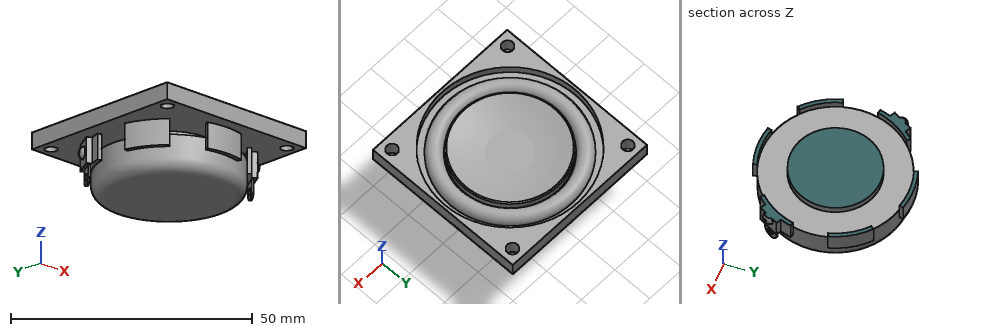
import cadquery as cq
import math

side = 40.1
height = 14.5
plate_thickness = 3.75
plate_bottom = height - plate_thickness
hole_offset = 17.25
hole_diameter = 2.8

recess_radius = 38.75 / 2
recess_depth = 2.1
recess_floor = height - recess_depth
roll_outer_radius = 17.72
roll_inner_radius = 13.7
roll_rise = (roll_outer_radius - roll_inner_radius) / 2
cone_radius = 27.0 / 2
cone_mouth_radius = 13.15
cone_mouth_drop = 0.1
cone_edge_drop = 0.32
cap_radius = 5.2
cone_depth = 1.95
cone_sag = 0.25

pot_radius = 32.4 / 2
pot_height = 7.65
pot_fillet = 2.55
neck_radius = 20.0 / 2

leg_count = 6
leg_outer_radius = 17.15
leg_bottom = 4.97
leg_angle = 32.8

terminal_angles = (-30, 150)
terminal_shift = -0.15
pad_face = 18.25
pad_width = 5.1
rivet_height = 8.15
rivet_radius = 1.4
rivet_rise = 0.92
rivet_tip_radius = 0.5
tag_face = 17.65
tag_thickness = 0.45
tag_width = 3.53
tag_hole_height = 2.73
tag_hole_diameter = 1.6


def cylinder(radius, bottom, top):
    return cq.Workplane("XY").workplane(offset=bottom).circle(radius).extrude(top - bottom)


def make_plate():
    """Square plate with corner holes and a round recess."""
    plate = cq.Workplane("XY").workplane(offset=plate_bottom).rect(side, side).extrude(plate_thickness)
    plate = plate.cut(cylinder(recess_radius, recess_floor, height))
    corners = cq.Workplane("XY").workplane(offset=plate_bottom)
    corners = corners.rect(2 * hole_offset, 2 * hole_offset, forConstruction=True).vertices()
    return plate.cut(corners.circle(hole_diameter / 2).extrude(plate_thickness))


def make_roll():
    """Convex ring of the flexible surround."""
    middle = (roll_outer_radius + roll_inner_radius) / 2
    profile = (
        cq.Workplane("XZ")
        .moveTo(roll_inner_radius, recess_floor)
        .threePointArc((middle, recess_floor + roll_rise), (roll_outer_radius, recess_floor))
        .close()
    )
    return profile.revolve(360, (0, 0, 0), (0, 1, 0))


def make_cone():
    """Raised disc whose dished top ends in a flat centre cap."""
    cap_level = height - cone_depth
    mouth_level = height - cone_mouth_drop
    dish_middle = (
        (cap_radius + cone_mouth_radius) / 2,
        (cap_level + mouth_level) / 2 - cone_sag,
    )
    profile = (
        cq.Workplane("XZ")
        .moveTo(0, plate_bottom)
        .lineTo(cone_radius, plate_bottom)
        .lineTo(cone_radius, height - cone_edge_drop)
        .lineTo(cone_mouth_radius, mouth_level)
        .threePointArc(dish_middle, (cap_radius, cap_level))
        .lineTo(0, cap_level)
        .close()
    )
    return profile.revolve(360, (0, 0, 0), (0, 1, 0))


def make_pot():
    """Magnet pot with a rounded bottom edge, joined to the plate by its neck."""
    pot = cylinder(pot_radius, 0, pot_height).faces("<Z").edges().fillet(pot_fillet)
    return pot.union(cylinder(neck_radius, pot_height, plate_bottom))


def make_leg():
    """Ring segment with radial ends, centred on +X."""
    half_angle = math.radians(leg_angle / 2)

    def ring_point(radius, angle):
        return (radius * math.cos(angle), radius * math.sin(angle))

    return (
        cq.Workplane("XY")
        .workplane(offset=leg_bottom)
        .moveTo(*ring_point(pot_radius, -half_angle))
        .lineTo(*ring_point(leg_outer_radius, -half_angle))
        .threePointArc((leg_outer_radius, 0), ring_point(leg_outer_radius, half_angle))
        .lineTo(*ring_point(pot_radius, half_angle))
        .threePointArc((pot_radius, 0), ring_point(pot_radius, -half_angle))
        .close()
        .extrude(plate_bottom - leg_bottom)
    )


def make_terminal():
    """Pad with a domed rivet and a round-ended solder tag, facing +X."""
    pad_back = (pot_radius + leg_outer_radius) / 2
    pad = cq.Workplane("XY").box(
        pad_face - pad_back, pad_width, plate_bottom - leg_bottom, centered=(False, True, False)
    ).translate((pad_back, 0, leg_bottom))

    sphere_offset = (rivet_radius**2 - rivet_tip_radius**2 - rivet_rise**2) / (2 * rivet_rise)
    sphere_radius = math.hypot(rivet_radius, sphere_offset)
    arc_height = rivet_rise / 2
    arc_radius = math.sqrt(sphere_radius**2 - (sphere_offset + arc_height) ** 2)
    rivet = (
        cq.Workplane("XY")
        .moveTo(pad_back, 0)
        .lineTo(pad_back, rivet_radius)
        .lineTo(pad_face, rivet_radius)
        .threePointArc((pad_face + arc_height, arc_radius), (pad_face + rivet_rise, rivet_tip_radius))
        .lineTo(pad_face + rivet_rise, 0)
        .close()
        .revolve(360, (0, 0, 0), (1, 0, 0))
        .translate((0, 0, rivet_height))
    )

    tag_end_radius = tag_width / 2
    tag_plane = cq.Workplane("YZ").workplane(offset=tag_face - tag_thickness)
    tag = (
        tag_plane.moveTo(-tag_end_radius, plate_bottom)
        .lineTo(-tag_end_radius, tag_hole_height)
        .threePointArc(
            (0, tag_hole_height - tag_end_radius),
            (tag_end_radius, tag_hole_height),
        )
        .lineTo(tag_end_radius, plate_bottom)
        .close()
        .extrude(tag_thickness)
    )
    hole = tag_plane.center(0, tag_hole_height).circle(tag_hole_diameter / 2).extrude(tag_thickness)
    return pad.union(rivet).union(tag.cut(hole)).translate((0, terminal_shift, 0))


def turned(shape, angle):
    return shape.rotate((0, 0, 0), (0, 0, 1), angle)


result = make_plate().union(make_roll()).union(make_cone()).union(make_pot())

for index in range(leg_count):
    result = result.union(turned(make_leg(), -90 + index * 360 / leg_count))

for angle in terminal_angles:
    result = result.union(turned(make_terminal(), angle))